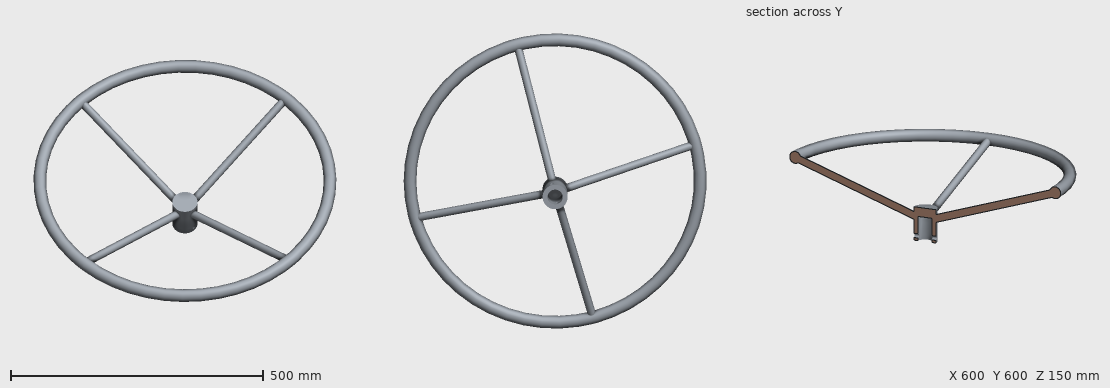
import cadquery as cq
import math

outer_diameter = 600
total_height = 150
rim_tube_diameter = 25.0
rim_radius = (outer_diameter - rim_tube_diameter) / 2
rim_height = total_height - rim_tube_diameter / 2

hub_diameter = 50.0
hub_height = 69.5

bore_diameter = 30
bore_depth = 50.0
pin_hole_diameter = 8.0
pin_hole_height = 10.0

spoke_count = 4
spoke_diameter = 16.0
spoke_start_height = 43.0
spoke_end_gap = 5.0


def make_rim():
    """Ring turned so that its seam lies midway between two spokes."""
    section = cq.Workplane("XZ").center(rim_radius, rim_height).circle(rim_tube_diameter / 2)
    ring = section.revolve(360, (-rim_radius, 0, 0), (-rim_radius, 1, 0), clean=False)
    return ring.rotate((0, 0, 0), (0, 0, 1), 180 / spoke_count)


def make_hub():
    return cq.Workplane("XY").circle(hub_diameter / 2).extrude(hub_height)


def make_spoke(angle):
    rise = rim_height - spoke_start_height
    length = math.hypot(rim_radius, rise) - spoke_end_gap
    spoke = cq.Solid.makeCylinder(
        spoke_diameter / 2,
        length,
        cq.Vector(0, 0, spoke_start_height),
        cq.Vector(rim_radius, 0, rise),
    )
    return cq.Workplane(spoke).rotate((0, 0, 0), (0, 0, 1), angle)


def make_bore():
    return cq.Workplane("XY").circle(bore_diameter / 2).extrude(bore_depth)


def make_pin_hole():
    """Cross hole along X, through both walls of the hub."""
    section = cq.Workplane("YZ").center(0, pin_hole_height).circle(pin_hole_diameter / 2)
    return section.extrude(hub_diameter, both=True)


result = make_rim()
for index in range(spoke_count):
    result = result.union(make_spoke(index * 360 / spoke_count), clean=False)
result = result.union(make_hub(), clean=False)
result = result.cut(make_bore(), clean=False)
result = result.cut(make_pin_hole(), clean=False)